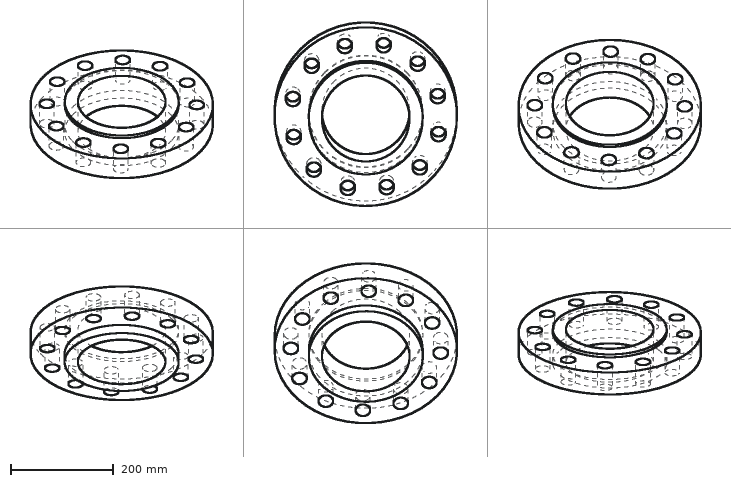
import cadquery as cq

flange_diameter = 355.5
flange_thickness = 48.0

hub_diameter = 222.2
raised_face_height = 6.5
total_height = 73.0
hub_height = total_height - flange_thickness - raised_face_height

bore_diameter = 170.7
bolt_circle_diameter = 292.0
bolt_hole_diameter = 28.5
bolt_hole_count = 12
first_bolt_angle = 360 / bolt_hole_count / 2


def cylinder(diameter, bottom, height):
    """Upright cylinder centred on the Z axis."""
    return cq.Workplane("XY").workplane(offset=bottom).circle(diameter / 2).extrude(height)


def bolt_holes():
    """Ring of cylinders that cut the bolt holes."""
    return (
        cq.Workplane("XY")
        .polarArray(bolt_circle_diameter / 2, first_bolt_angle, 360, bolt_hole_count)
        .circle(bolt_hole_diameter / 2)
        .extrude(total_height)
    )


hub_and_face = cylinder(hub_diameter, 0, total_height)
flange = cylinder(flange_diameter, hub_height, flange_thickness)
bore = cylinder(bore_diameter, 0, total_height)

result = hub_and_face.union(flange).cut(bore).cut(bolt_holes())